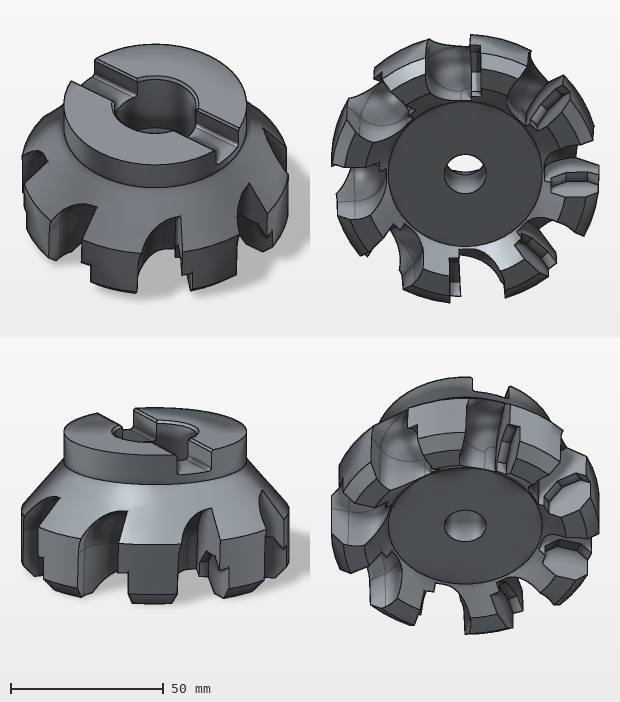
import cadquery as cq
import math


body_height = 47.8
tooth_reach = 43.8
tip_offset = 2.1
body_radius = math.hypot(tooth_reach, tip_offset)
tip_chamfer_width = 3.95
tip_chamfer_height = 4.2
shoulder_height = 21.1
neck_base_height = 37.8
neck_radius = 30.0

bore_radius = 13.4
bore_depth = 21.9
bore_chamfer = 0.9
screw_hole_radius = 6.8
recess_mouth_radius = 33.1
recess_depth = 7.9

slot_width = 12.45
slot_depth = 7.0
slot_chamfer = 0.7
slot_fillet = 1.1

tooth_count = 8
tooth_pitch = 360 / tooth_count
axial_rake = 1.7
radial_rake = 1.5
gullet_radius = 14.4
gullet_fillet = 10.8
gullet_floor_distance = 25.95
gullet_centre_height = 15.8
rake_face_offset = 2.3
seat_floor_offset = 5.7
seat_inner_distance = 28.1
seat_top_height = 14.8
seat_width = 16.9
seat_sides = 8

overshoot = 8.8


def turned_body():
    """Revolve the outer profile with the conical recess in the cutting end."""
    profile = [
        (0, recess_depth),
        (recess_mouth_radius - recess_depth, recess_depth),
        (recess_mouth_radius, 0),
        (body_radius - tip_chamfer_width, 0),
        (body_radius, tip_chamfer_height),
        (body_radius, shoulder_height),
        (neck_radius, neck_base_height),
        (neck_radius, body_height),
        (0, body_height),
    ]
    return cq.Workplane("XZ").polyline(profile).close().revolve(360, (0, 0), (0, 1))


def bore_cutter():
    """Stepped hole: chamfered pilot bore above, screw hole through the web."""
    bore_floor = body_height - bore_depth
    profile = [
        (0, 0),
        (screw_hole_radius, 0),
        (screw_hole_radius, bore_floor),
        (bore_radius, bore_floor),
        (bore_radius, body_height - bore_chamfer),
        (bore_radius + bore_chamfer, body_height),
        (0, body_height),
    ]
    return cq.Workplane("XZ").polyline(profile).close().revolve(360, (0, 0), (0, 1))


def driving_slot_cutter():
    """Slot along X with rounded floor corners and chamfered mouth edges."""
    half_width = slot_width / 2
    floor = body_height - slot_depth
    mouth = half_width + slot_chamfer
    return (
        cq.Workplane("YZ")
        .moveTo(-mouth, body_height)
        .lineTo(-half_width, body_height - slot_chamfer)
        .lineTo(-half_width, floor + slot_fillet)
        .radiusArc((-half_width + slot_fillet, floor), -slot_fillet)
        .lineTo(half_width - slot_fillet, floor)
        .radiusArc((half_width, floor + slot_fillet), -slot_fillet)
        .lineTo(half_width, body_height - slot_chamfer)
        .lineTo(mouth, body_height)
        .close()
        .extrude(body_radius, both=True)
    )


def gullet_cutter():
    """Round-topped gullet in the -Y side, flat on the rake face and rounded at its floor.

    It is drawn around its centre, tilted by the axial rake, then swung by the
    radial rake about a vertical line at the outside of the body.
    """
    depth = body_radius + overshoot - gullet_floor_distance
    bottom = -gullet_centre_height - overshoot
    gullet = (
        cq.Workplane("XZ", origin=(0, -gullet_floor_distance, 0))
        .moveTo(0, gullet_radius)
        .radiusArc((-gullet_radius, 0), -gullet_radius)
        .lineTo(-gullet_radius, bottom)
        .lineTo(0, bottom)
        .close()
        .extrude(depth)
    )
    round_edge = gullet.faces(">Y").edges("%CIRCLE")
    side_edge = gullet.faces(">Y").edges("<X")
    gullet = gullet.newObject(round_edge.vals() + side_edge.vals()).fillet(gullet_fillet)
    return (
        gullet.rotate((0, 0, 0), (0, 1, 0), axial_rake)
        .translate((0, body_radius, 0))
        .rotate((0, 0, 0), (0, 0, 1), -radial_rake)
        .translate((rake_face_offset, -body_radius, gullet_centre_height))
    )


def insert_seat_cutter():
    """Octagonal insert seat sunk into the rake face."""
    half_width = seat_width / 2
    corner_diameter = seat_width / math.cos(math.pi / seat_sides)
    return (
        cq.Workplane("YZ")
        .polygon(seat_sides, corner_diameter)
        .extrude(seat_floor_offset)
        .rotate((0, 0, 0), (1, 0, 0), 180 / seat_sides)
        .translate((0, -seat_inner_distance - half_width, seat_top_height - half_width))
    )


result = turned_body().cut(bore_cutter()).cut(driving_slot_cutter())

tooth_cutter = gullet_cutter().union(insert_seat_cutter())
for tooth in range(tooth_count):
    result = result.cut(tooth_cutter.rotate((0, 0, 0), (0, 0, 1), tooth * tooth_pitch))